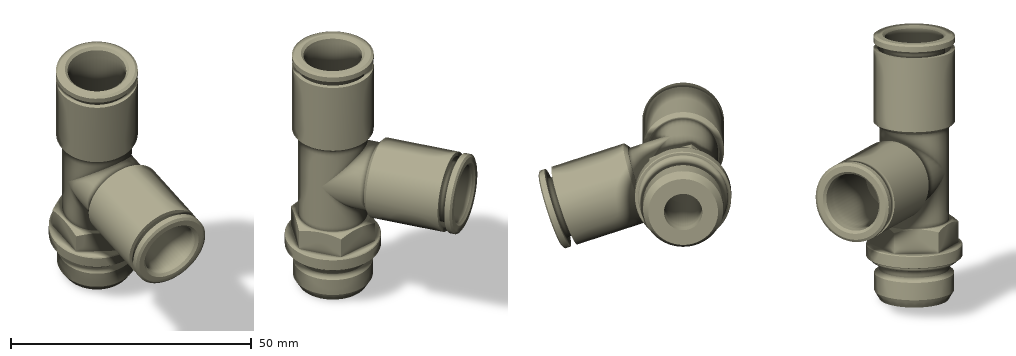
import cadquery as cq
import math

total_height = 57.0
branch_height = 28.05
total_width = 39.0
collar_diameter = 20.0
branch_length = total_width - collar_diameter / 2
tube_diameter = 14.5
tube_bore = 10.0

socket_diameter = 17.0
socket_base_diameter = 15.2
socket_face_depth = 2.95
socket_bevel_depth = 18.75
socket_base_depth = 19.5
socket_mouth_diameter = 15.2
socket_mouth_depth = 2.85

flange_thickness = 1.5
flange_bevel_radial = 0.55
flange_bevel_axial = 0.35
neck_diameter = 12.9
collet_bore = 12.2
collet_mouth_diameter = 13.3
collet_mouth_depth = (collet_mouth_diameter - collet_bore) / 2
neck_root_bevel = 0.15
collet_seat_depth = socket_bevel_depth
stop_cone_depth = 0.7

stud_bore = 8.0
tip_diameter = 14.5
tip_bevel_height = 1.9
thread_diameter = 16.65
thread_top = 5.65
relief_diameter = 14.7
relief_start = 6.5
collar_bottom = 9.1
collar_top = 11.9
collar_edge_bevel = 0.15
hex_top = 17.1
hex_across_flats = 16.0
hex_bevel_angle = 30.0

seal_bottom = 8.2
seal_diameter = 18.65
seal_bottom_diameter = 17.0


def revolve_profile(points):
    """Revolve closed (radius, height) points about the Z axis."""
    profile = cq.Workplane("XZ").polyline(points).close()
    return profile.revolve(360, (0, 0, 0), (0, 1, 0))


def cylinder(diameter, bottom, top):
    return cq.Workplane("XY").workplane(offset=bottom).circle(diameter / 2).extrude(top - bottom)


def place_on_branch(shape):
    """Turn a Z-axis shape onto the branch axis, pointing along +X."""
    return shape.rotate((0, 0, 0), (0, 1, 0), 90).translate((0, 0, branch_height))


def make_socket(collet_face):
    """Outside of a bevelled socket whose collet face is at the given height."""
    base = collet_face - socket_base_depth
    bevel_end = collet_face - socket_bevel_depth
    mouth = collet_face - socket_face_depth
    return revolve_profile([
        (0, base),
        (socket_base_diameter / 2, base),
        (socket_diameter / 2, bevel_end),
        (socket_diameter / 2, mouth),
        (0, mouth),
    ])


def make_passage(start, collet_face):
    """Stepped hole: tube bore, stop cone, collet recess and annular gap."""
    seat = collet_face - collet_seat_depth
    gap_floor = collet_face - socket_face_depth - socket_mouth_depth
    return revolve_profile([
        (0, start),
        (tube_bore / 2, start),
        (tube_bore / 2, seat - stop_cone_depth),
        (collet_bore / 2, seat),
        (neck_diameter / 2, seat),
        (neck_diameter / 2, gap_floor),
        (socket_mouth_diameter / 2, gap_floor),
        (socket_mouth_diameter / 2, collet_face),
        (0, collet_face),
    ])


def make_tee():
    run = cylinder(tube_diameter, hex_top, total_height - socket_base_depth)
    branch = place_on_branch(cylinder(tube_diameter, 0, branch_length - socket_base_depth))
    tee = run.union(branch)
    tee = tee.union(make_socket(total_height))
    tee = tee.union(place_on_branch(make_socket(branch_length)))
    tee = tee.cut(make_passage(hex_top, total_height))
    return tee.cut(place_on_branch(make_passage(0, branch_length)))


def make_collet(collet_face):
    """Thin sleeve with an outer flange and a bevelled mouth."""
    seat = collet_face - collet_seat_depth
    flange_back = collet_face - flange_thickness
    flange_radius = socket_diameter / 2
    return revolve_profile([
        (collet_bore / 2, seat),
        (neck_diameter / 2, seat),
        (neck_diameter / 2, flange_back - neck_root_bevel),
        (neck_diameter / 2 + neck_root_bevel, flange_back),
        (flange_radius, flange_back),
        (flange_radius, collet_face - flange_bevel_axial),
        (flange_radius - flange_bevel_radial, collet_face),
        (collet_mouth_diameter / 2, collet_face),
        (collet_bore / 2, collet_face - collet_mouth_depth),
    ])


def make_hexagon():
    """Hexagon with corners on X and its top corners turned off conically."""
    corner_diameter = hex_across_flats / math.cos(math.pi / 6)
    corner_drop = (corner_diameter - hex_across_flats) / 2 * math.tan(math.radians(hex_bevel_angle))
    prism = (
        cq.Workplane("XY").workplane(offset=collar_top)
        .polygon(6, corner_diameter).extrude(hex_top - collar_top)
    )
    envelope = revolve_profile([
        (0, collar_top),
        (corner_diameter / 2, collar_top),
        (corner_diameter / 2, hex_top - corner_drop),
        (hex_across_flats / 2, hex_top),
        (0, hex_top),
    ])
    return prism.intersect(envelope)


def make_stud():
    turned = revolve_profile([
        (0, 0),
        (tip_diameter / 2, 0),
        (thread_diameter / 2, tip_bevel_height),
        (thread_diameter / 2, thread_top),
        (relief_diameter / 2, relief_start),
        (relief_diameter / 2, collar_bottom),
        (0, collar_bottom),
    ])
    collar = cylinder(collar_diameter, collar_bottom, collar_top).edges().chamfer(collar_edge_bevel)
    stud = turned.union(collar).union(make_hexagon())
    return stud.cut(cylinder(stud_bore, 0, hex_top))


def make_seal():
    """Flat ring with a rounded lower outer edge."""
    inner = relief_diameter / 2
    top_outer = seal_diameter / 2
    bottom_outer = seal_bottom_diameter / 2
    bulge = (
        bottom_outer + (top_outer - bottom_outer) * math.sin(math.pi / 4),
        collar_bottom - (collar_bottom - seal_bottom) * math.sin(math.pi / 4),
    )
    profile = (
        cq.Workplane("XZ").moveTo(inner, seal_bottom)
        .lineTo(bottom_outer, seal_bottom)
        .threePointArc(bulge, (top_outer, collar_bottom))
        .lineTo(inner, collar_bottom)
        .close()
    )
    return profile.revolve(360, (0, 0, 0), (0, 1, 0))


tee = make_tee()
stud = make_stud()
seal = make_seal()
run_collet = make_collet(total_height)
branch_collet = place_on_branch(make_collet(branch_length))

result = cq.Compound.makeCompound([
    tee.val(),
    stud.val(),
    seal.val(),
    run_collet.val(),
    branch_collet.val(),
])